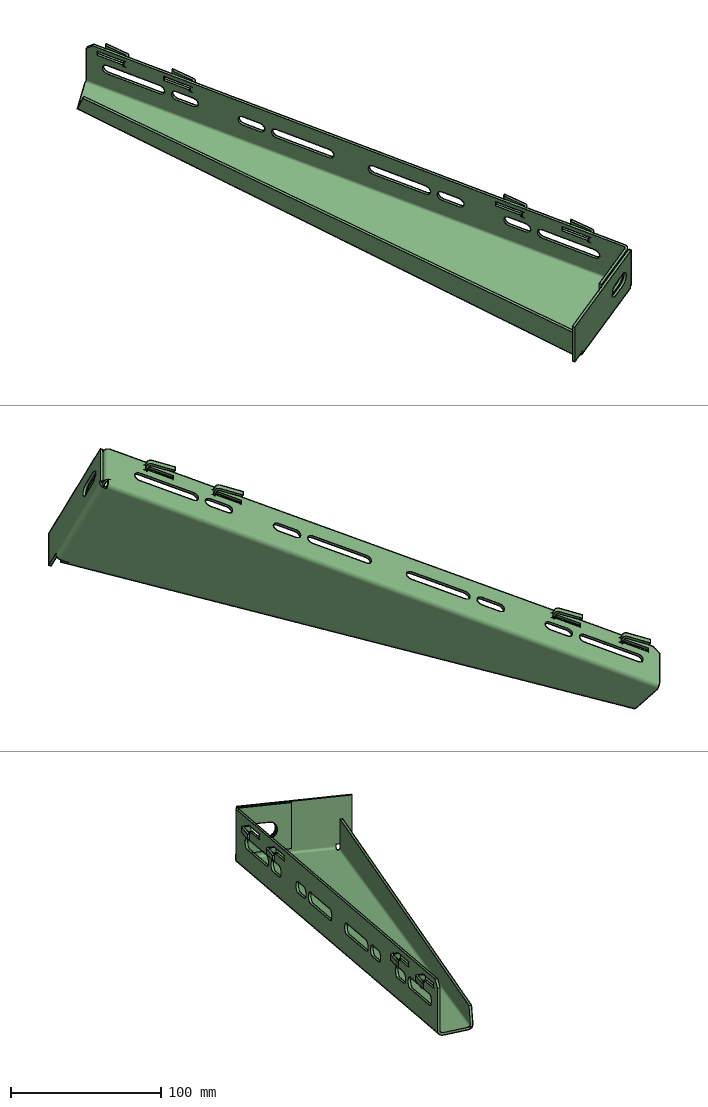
import cadquery as cq
import math

LENGTH = 411.0
HEIGHT = 38.0
SHEET = 1.85
INNER_BEND = 1.5
OUTER_BEND = INNER_BEND + SHEET
OVERCUT = 4.0

TRAY_END = 406.0
FRONT_DEPTH_NARROW = 26.5
FRONT_DEPTH_WIDE = 75.5
FRONT_SLOPE = (FRONT_DEPTH_WIDE - FRONT_DEPTH_NARROW) / TRAY_END
LIP_HEIGHT_NARROW = 14.8
LIP_HEIGHT_WIDE = 23.5
LIP_SLOPE = (LIP_HEIGHT_WIDE - LIP_HEIGHT_NARROW) / TRAY_END
WALL_CHAMFER = 5.0
FLOOR_CUT_START = 4.0
FLOOR_CUT_ANGLE = 16.0
FLANGE_CUT_FOOT = 6.5
FLANGE_CUT_ANGLE = 19.5

PLATE_FRONT = 83.5
PLATE_BACK = 2.5
PLATE_BOTTOM = 5.0
PLATE_INNER_X = LENGTH - SHEET
RETURN_DEPTH = 40.0
RETURN_BOTTOM = 6.0
RETURN_GAP = 1.0
RETURN_OUTER_X = PLATE_INNER_X - RETURN_GAP
RETURN_START = RETURN_OUTER_X - OUTER_BEND
END_SLOT_DEPTH = 19.7
END_SLOT_HEIGHT = 20.5
END_SLOT_LENGTH = 20.0
END_SLOT_WIDTH = 11.0

GROUP_CENTRES = (99.5, 299.5)
LONG_SLOT_OFFSET = 63.5
SHORT_SLOT_OFFSET = 25.0
LONG_SLOT = 47.0
SHORT_SLOT = 20.0
WALL_SLOT_WIDTH = 8.0
WALL_SLOT_HEIGHT = 20.5

HOOK_PAIR_STARTS = (30.0, 330.0)
HOOK_PITCH = 50.0
HOOK_BOTTOM = 31.0
HOOK_TOP = 34.5
HOOK_ROOT_BOTTOM = 29.5
HOOK_INNER_BEND = 1.0
HOOK_OUTER_BEND = HOOK_INNER_BEND + SHEET
HOOK_REACH = 19.7
HOOK_RISE = 7.5
HOOK_TILT = math.tan(math.radians(5.0))
TIP_BLUNT = 1.2
TIP_TAPER = 2.5
WINDOW_LENGTH = 21.8


def box(x_range, y_range, z_range):
    """Axis-aligned block given by its (low, high) limits."""
    ranges = (x_range, y_range, z_range)
    sizes = [high - low for low, high in ranges]
    corner = cq.Vector(*[low for low, high in ranges])
    return cq.Workplane("XY").box(*sizes, centered=False).translate(corner)


def prism_along_y(points, y_range):
    """Extrude an XZ outline between two Y values."""
    low, high = y_range
    return cq.Workplane("XZ", origin=(0, high, 0)).polyline(points).close().extrude(high - low)


def trough(start, end, inset, bottom, top, bend):
    """Solid tapered trough with its two long bottom edges rounded."""
    front_inset = inset * math.hypot(1, FRONT_SLOPE)
    corners = [
        (x, front_inset - FRONT_DEPTH_NARROW - FRONT_SLOPE * x) for x in (start, end)
    ]
    outline = [(end, -inset), (start, -inset)] + corners
    body = cq.Workplane("XY", origin=(0, 0, bottom)).polyline(outline).close().extrude(top - bottom)
    body = body.faces("<Z").edges(">Y").fillet(bend)
    return body.faces("<Z").edges("<Y").fillet(bend)


def tray():
    """Floor, back wall and lower, sloped front flange."""
    outside = trough(0, TRAY_END, 0, 0, HEIGHT, OUTER_BEND)
    inside = trough(-OVERCUT, TRAY_END + OVERCUT, SHEET, SHEET, HEIGHT + OVERCUT, INNER_BEND)
    body = outside.cut(inside)

    in_front_of_wall = (-PLATE_FRONT, -OUTER_BEND)
    above_lip = [
        (0, LIP_HEIGHT_NARROW),
        (TRAY_END, LIP_HEIGHT_NARROW + LIP_SLOPE * TRAY_END),
        (TRAY_END, HEIGHT),
        (0, HEIGHT),
    ]
    body = body.cut(prism_along_y(above_lip, in_front_of_wall))

    cut_run = HEIGHT * math.tan(math.radians(FLANGE_CUT_ANGLE))
    flange_end = [
        (0, SHEET),
        (FLANGE_CUT_FOOT, SHEET),
        (FLANGE_CUT_FOOT + cut_run, SHEET + HEIGHT),
        (0, SHEET + HEIGHT),
    ]
    body = body.cut(prism_along_y(flange_end, in_front_of_wall))

    floor_run = FRONT_DEPTH_WIDE * math.tan(math.radians(FLOOR_CUT_ANGLE))
    floor_end = [
        (0, -FLOOR_CUT_START),
        (floor_run, -FLOOR_CUT_START - FRONT_DEPTH_WIDE),
        (0, -FLOOR_CUT_START - FRONT_DEPTH_WIDE),
    ]
    body = body.cut(cq.Workplane("XY").polyline(floor_end).close().extrude(HEIGHT))

    wall_corner = [(0, HEIGHT - WALL_CHAMFER), (WALL_CHAMFER, HEIGHT), (0, HEIGHT)]
    return body.cut(prism_along_y(wall_corner, (-OUTER_BEND, 0)))


def angle_sheet(plane, leg_start, leg_end, rise):
    """Bent sheet outline: a leg along local x, then a rounded corner and a leg along local y."""
    bend_start = leg_end - OUTER_BEND
    return (
        cq.Workplane(plane)
        .moveTo(leg_start, 0)
        .lineTo(bend_start, 0)
        .radiusArc((leg_end, OUTER_BEND), -OUTER_BEND)
        .lineTo(leg_end, rise)
        .lineTo(leg_end - SHEET, rise)
        .lineTo(leg_end - SHEET, OUTER_BEND)
        .radiusArc((bend_start, SHEET), INNER_BEND)
        .lineTo(leg_start, SHEET)
        .close()
    )


def wall_return():
    """Short flange bent from the end of the wall, clear of the floor."""
    plane = cq.Plane(origin=(0, 0, HEIGHT), xDir=(1, 0, 0), normal=(0, 0, -1))
    wall_stub_start = RETURN_START - OVERCUT
    section = angle_sheet(plane, wall_stub_start, RETURN_OUTER_X, RETURN_DEPTH)
    return section.extrude(HEIGHT - RETURN_BOTTOM)


def end_plate():
    """Plate bent up from the floor, wider than the floor at both sides."""
    fold_front = FRONT_DEPTH_WIDE - OUTER_BEND
    plane = cq.Plane(origin=(0, -OUTER_BEND, 0), xDir=(1, 0, 0), normal=(0, -1, 0))
    floor_stub_start = TRAY_END - OVERCUT
    fold = angle_sheet(plane, floor_stub_start, LENGTH, HEIGHT).extrude(fold_front - OUTER_BEND)
    plate = box((PLATE_INNER_X, LENGTH), (-PLATE_FRONT, -PLATE_BACK), (PLATE_BOTTOM, HEIGHT))
    return fold.union(plate)


def hook(root_x):
    """Hook that leaves the wall at root_x and points back towards X = 0."""
    leg_right = root_x - HOOK_INNER_BEND
    leg_left = leg_right - SHEET
    tip_x = root_x - HOOK_REACH
    arm_depth = SHEET * math.hypot(1, HOOK_TILT)

    def arm_outside(x):
        return HOOK_RISE - HOOK_TILT * (x - tip_x)

    taper_x = tip_x + TIP_TAPER
    outer_corner = (leg_right, arm_outside(leg_right))
    inner_corner = (leg_left, arm_outside(leg_left) - arm_depth)
    outline = [
        (leg_right, HOOK_INNER_BEND),
        outer_corner,
        (tip_x, HOOK_RISE),
        (tip_x, HOOK_RISE - TIP_BLUNT),
        (taper_x, arm_outside(taper_x) - arm_depth),
        inner_corner,
        (leg_left, HOOK_INNER_BEND),
    ]
    arm = cq.Workplane("XY", origin=(0, 0, HOOK_BOTTOM)).polyline(outline).close()
    arm = arm.extrude(HOOK_TOP - HOOK_BOTTOM)
    middle = (HOOK_BOTTOM + HOOK_TOP) / 2
    for corner, radius in ((outer_corner, HOOK_OUTER_BEND), (inner_corner, HOOK_INNER_BEND)):
        arm = arm.edges(cq.NearestToPointSelector((*corner, middle))).fillet(radius)

    root = (
        cq.Workplane("XY", origin=(0, 0, HOOK_ROOT_BOTTOM))
        .moveTo(root_x, -SHEET)
        .radiusArc((leg_left, HOOK_INNER_BEND), HOOK_OUTER_BEND)
        .lineTo(leg_right, HOOK_INNER_BEND)
        .radiusArc((root_x, 0), -HOOK_INNER_BEND)
        .close()
        .extrude(HOOK_TOP - HOOK_ROOT_BOTTOM)
    )
    return root.union(arm)


def hook_window(root_x):
    """Opening left in the wall by a hook, deeper around the hook root."""
    wall = (-SHEET, 0)
    opening = box((root_x - WINDOW_LENGTH, root_x), wall, (HOOK_BOTTOM, HOOK_TOP))
    root_opening = box((root_x - HOOK_OUTER_BEND, root_x), wall, (HOOK_ROOT_BOTTOM, HOOK_TOP))
    return opening.union(root_opening)


def wall_slots():
    """Long and short slots through the back wall."""
    centres = {LONG_SLOT: [], SHORT_SLOT: []}
    for middle in GROUP_CENTRES:
        for side in (-1, 1):
            centres[LONG_SLOT].append((middle + side * LONG_SLOT_OFFSET, WALL_SLOT_HEIGHT))
            centres[SHORT_SLOT].append((middle + side * SHORT_SLOT_OFFSET, WALL_SLOT_HEIGHT))
    slots = cq.Workplane("XZ")
    for length, points in centres.items():
        outline = cq.Workplane("XZ").pushPoints(points).slot2D(length, WALL_SLOT_WIDTH)
        slots = slots.union(outline.extrude(SHEET))
    return slots


def end_slot():
    """Slot through the wall return and the end plate."""
    return (
        cq.Workplane("YZ", origin=(RETURN_START, -END_SLOT_DEPTH, END_SLOT_HEIGHT))
        .slot2D(END_SLOT_LENGTH, END_SLOT_WIDTH)
        .extrude(LENGTH - RETURN_START)
    )


corner_room = box((RETURN_START, LENGTH), (-SHEET, 0), (RETURN_BOTTOM, HEIGHT))
bracket = tray().cut(corner_room).union(wall_return()).union(end_plate())
bracket = bracket.cut(wall_slots()).cut(end_slot())

for pair_start in HOOK_PAIR_STARTS:
    for hook_root in (pair_start, pair_start + HOOK_PITCH):
        bracket = bracket.cut(hook_window(hook_root)).union(hook(hook_root))

result = bracket